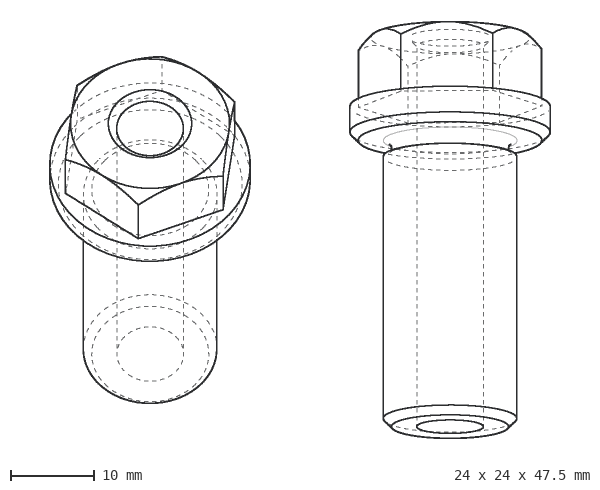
import cadquery as cq
import math

total_height = 47.5
flange_diameter = 24.0
flange_thickness = 4.15
head_height = 8.4
hex_across_flats = 19.0
shank_diameter = 16.0
bore_diameter = 8.0
edge_chamfer = 1.0
groove_radius = 1.0

flange_radius = flange_diameter / 2
shank_radius = shank_diameter / 2
bore_radius = bore_diameter / 2
flange_top = total_height - head_height
flange_bottom = flange_top - flange_thickness
groove_bottom = flange_bottom - 2 * groove_radius
groove_middle = flange_bottom - groove_radius
hex_across_corners = hex_across_flats / math.cos(math.pi / 6)
corner_drop = (hex_across_corners - hex_across_flats) / 2


def make_turned_body():
    """Shank, half-round relief groove and flange, revolved about Z."""
    return (
        cq.Workplane("XZ")
        .moveTo(0, 0)
        .lineTo(shank_radius - edge_chamfer, 0)
        .lineTo(shank_radius, edge_chamfer)
        .lineTo(shank_radius, groove_bottom)
        .threePointArc((shank_radius - groove_radius, groove_middle), (shank_radius, flange_bottom))
        .lineTo(flange_radius - edge_chamfer, flange_bottom)
        .lineTo(flange_radius, flange_bottom + edge_chamfer)
        .lineTo(flange_radius, flange_top)
        .lineTo(0, flange_top)
        .close()
        .revolve(360, (0, 0), (0, 1))
    )


def make_hex_head():
    """Hexagon with corners on X, its top corners trimmed by a 45 degree cone."""
    hexagon = (
        cq.Workplane("XY")
        .workplane(offset=flange_top)
        .polygon(6, hex_across_corners)
        .extrude(head_height)
    )
    trimming_envelope = (
        cq.Workplane("XY")
        .workplane(offset=flange_top)
        .circle(hex_across_corners / 2)
        .extrude(head_height)
        .faces(">Z")
        .chamfer(corner_drop)
    )
    return hexagon.intersect(trimming_envelope)


def make_bore():
    """Through bore with a 45 degree countersink at the head end."""
    return (
        cq.Workplane("XZ")
        .moveTo(0, 0)
        .lineTo(bore_radius, 0)
        .lineTo(bore_radius, total_height - edge_chamfer)
        .lineTo(bore_radius + edge_chamfer, total_height)
        .lineTo(0, total_height)
        .close()
        .revolve(360, (0, 0), (0, 1))
    )


result = make_turned_body().union(make_hex_head()).cut(make_bore())